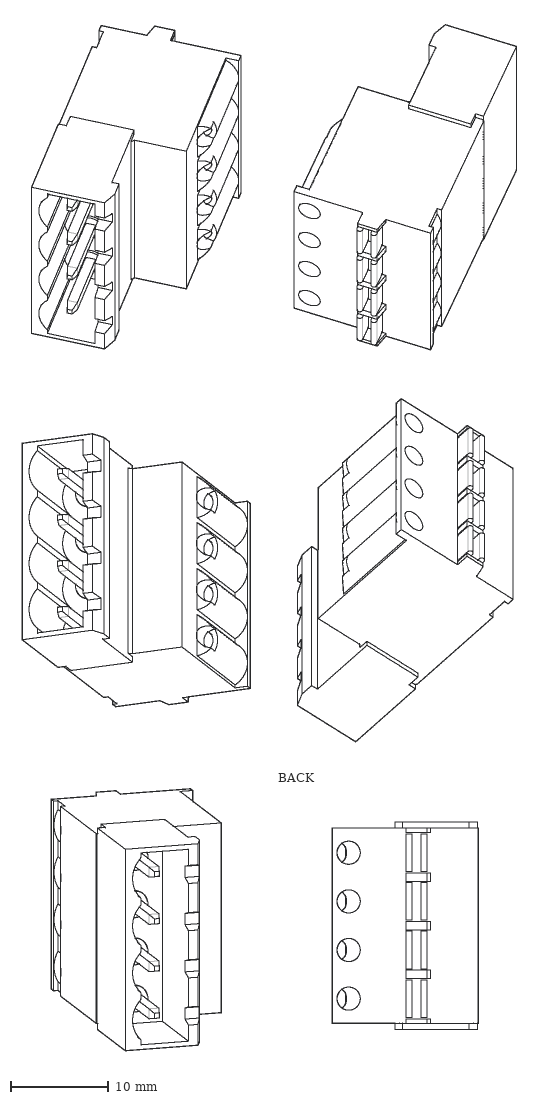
import cadquery as cq


POLES = 4
PITCH = 5.0
POLE_HEIGHTS = [(i - (POLES - 1) / 2) * PITCH for i in range(POLES)]

TOTAL_DEPTH = 27.0
OVERALL_WIDTH = 15.0

BODY_HEIGHT = 20.08
BODY_RIGHT = 13.63
BODY_FRONT = 10.15
BODY_BACK = 25.05
BODY_LIP_FRONT = 9.65
END_PLATE_THICKNESS = 0.8
END_PLATE_FRONT = BODY_BACK - END_PLATE_THICKNESS
CORNER_WEDGE = 0.32

HEADER_HEIGHT = 21.32
HEADER_LEFT = 0.08
HEADER_RIGHT = 7.77
HEADER_BACK = 10.95
HEADER_STEP_X = 0.95
HEADER_STEP_Y = 9.55
LATCH_RIGHT = 8.55
LATCH_BACK = 3.05
LATCH_CHAMFER_X = 0.65
LATCH_CHAMFER_Y = 1.5

POCKET_LEFT = 1.78
POCKET_RIGHT = 6.88
POCKET_HEIGHT = 20.3
POCKET_DEPTH = 8.9
SCALLOP_RADIUS = 2.97

NOTCH_DEPTH = 1.15
NOTCH_MOUTH = 1.92
NOTCH_BOTTOM = 1.2

PIN_X = 3.83
PIN_SIZE = 1.05
PIN_TIP_SIZE = 0.55
PIN_TAPER = 1.0
PIN_TIP_Y = 1.13
COLLAR_RADIUS = 1.4
COLLAR_HEIGHT = 0.27

DOME_RADIUS = 2.48
DOME_CENTER_X = OVERALL_WIDTH - DOME_RADIUS
DOME_FRONT = 14.2
SCREW_BORE_RADIUS = 1.2
SCREW_BORE_X = 13.3
FRONT_BORE_X = 14.7
FRONT_BORE_BACK = 16.33

GROOVE_DEPTH = 0.49
GROOVE_FRONT = 21.85
GRIP_HALF_HEIGHT = 1.62
GRIP_RISE = 0.43

RIB_LEFT = 4.9
RIB_TIP_LEFT = 5.3
RIB_RIGHT = 7.45
RIB_BACK = 26.55
TAB_HEIGHT = 3.85
TAB_GAP = 0.13
PRONG_WIDTH = 0.62
PRONG_LEFTS = [RIB_TIP_LEFT, RIB_RIGHT - PRONG_WIDTH]

OVERLAP = 0.13


def block(x0, x1, y0, y1, height, z=0.0):
    """Box between two X and two Y limits, centred on height z."""
    return (
        cq.Workplane("XY")
        .box(x1 - x0, y1 - y0, height)
        .translate(((x0 + x1) / 2, (y0 + y1) / 2, z))
    )


def plan_prism(points, height, z=0.0):
    """Outline in X and Y, extruded along Z and centred on height z."""
    return (
        cq.Workplane("XY", origin=(0, 0, z - height / 2))
        .polyline(points)
        .close()
        .extrude(height)
    )


def rod(x, z, radius, y0, y1):
    """Cylinder along Y."""
    return (
        cq.Workplane("XZ", origin=(x, y0, z))
        .circle(radius)
        .extrude(y0 - y1)
    )


def make_body():
    body = block(0, BODY_RIGHT, BODY_FRONT, BODY_BACK, BODY_HEIGHT)
    lip = block(0, HEADER_STEP_X, BODY_LIP_FRONT, BODY_FRONT + OVERLAP, BODY_HEIGHT)
    joint = block(HEADER_LEFT, HEADER_STEP_X, HEADER_STEP_Y, BODY_FRONT + OVERLAP, BODY_HEIGHT)
    end_plate = block(0, OVERALL_WIDTH, END_PLATE_FRONT, BODY_BACK, BODY_HEIGHT)
    wedge = plan_prism(
        [
            (HEADER_RIGHT, BODY_FRONT),
            (HEADER_RIGHT, BODY_FRONT - CORNER_WEDGE),
            (HEADER_RIGHT + CORNER_WEDGE, BODY_FRONT),
        ],
        BODY_HEIGHT,
    )
    return body.union(lip).union(joint).union(end_plate).union(wedge)


def make_header():
    return plan_prism(
        [
            (HEADER_LEFT, 0),
            (LATCH_RIGHT - LATCH_CHAMFER_X, 0),
            (LATCH_RIGHT, LATCH_CHAMFER_Y),
            (LATCH_RIGHT, LATCH_BACK),
            (HEADER_RIGHT, LATCH_BACK),
            (HEADER_RIGHT, HEADER_BACK),
            (HEADER_STEP_X, HEADER_BACK),
            (HEADER_STEP_X, HEADER_STEP_Y),
            (HEADER_LEFT, HEADER_STEP_Y),
        ],
        HEADER_HEIGHT,
    )


def make_pocket():
    """Header cavity with a round scallop beside each pin."""
    pocket = block(POCKET_LEFT, POCKET_RIGHT, 0, POCKET_DEPTH, POCKET_HEIGHT)
    for z in POLE_HEIGHTS:
        scallop = rod(PIN_X, z, SCALLOP_RADIUS, 0, POCKET_DEPTH)
        left_of_pin = block(PIN_X - SCALLOP_RADIUS, PIN_X, 0, POCKET_DEPTH, POCKET_HEIGHT)
        pocket = pocket.union(scallop.intersect(left_of_pin))
    return pocket


def make_notch(z):
    """Notch through the latch wall, narrowing away from the opening."""
    return (
        cq.Workplane("YZ", origin=(POCKET_RIGHT - OVERLAP, 0, z))
        .polyline(
            [
                (0, -NOTCH_MOUTH / 2),
                (NOTCH_DEPTH, -NOTCH_BOTTOM / 2),
                (NOTCH_DEPTH, NOTCH_BOTTOM / 2),
                (0, NOTCH_MOUTH / 2),
            ]
        )
        .close()
        .extrude(LATCH_RIGHT - POCKET_RIGHT + 2 * OVERLAP)
    )


def make_pin(z):
    """Square pin with a tapered tip, standing in a round collar."""
    shaft_front = PIN_TIP_Y + PIN_TAPER
    shaft = block(
        PIN_X - PIN_SIZE / 2,
        PIN_X + PIN_SIZE / 2,
        shaft_front,
        POCKET_DEPTH + OVERLAP,
        PIN_SIZE,
        z,
    )
    tip = (
        cq.Workplane("XZ", origin=(PIN_X, shaft_front, z))
        .rect(PIN_SIZE, PIN_SIZE)
        .workplane(offset=PIN_TAPER)
        .rect(PIN_TIP_SIZE, PIN_TIP_SIZE)
        .loft(combine=True)
    )
    collar = rod(PIN_X, z, COLLAR_RADIUS, POCKET_DEPTH - COLLAR_HEIGHT, POCKET_DEPTH + OVERLAP)
    return shaft.union(tip).union(collar)


def make_dome(z):
    """Round bulge on the right wall, its front end sloped at 45 degrees."""
    dome = rod(DOME_CENTER_X, z, DOME_RADIUS, DOME_FRONT, END_PLATE_FRONT + OVERLAP)
    inner_x = BODY_RIGHT - OVERLAP
    slope_run = OVERALL_WIDTH - BODY_RIGHT
    envelope = plan_prism(
        [
            (inner_x, DOME_FRONT),
            (BODY_RIGHT, DOME_FRONT),
            (OVERALL_WIDTH, DOME_FRONT + slope_run),
            (OVERALL_WIDTH, END_PLATE_FRONT + OVERLAP),
            (inner_x, END_PLATE_FRONT + OVERLAP),
        ],
        PITCH,
        z,
    )
    return dome.intersect(envelope)


def make_screw_bores(z):
    """Screw bore from the back, met by an offset bore from the front of the dome."""
    back_bore = rod(SCREW_BORE_X, z, SCREW_BORE_RADIUS, FRONT_BORE_BACK - OVERLAP, BODY_BACK)
    front_bore = rod(FRONT_BORE_X, z, SCREW_BORE_RADIUS, DOME_FRONT, FRONT_BORE_BACK)
    return back_bore.union(front_bore)


def make_grip(z):
    """Shallow convex rib inside the groove of the left wall."""
    radius = (GRIP_HALF_HEIGHT**2 + GRIP_RISE**2) / (2 * GRIP_RISE)
    crest_x = GROOVE_DEPTH - GRIP_RISE
    cylinder = rod(crest_x + radius, z, radius, GROOVE_FRONT, END_PLATE_FRONT)
    segment = block(0, GROOVE_DEPTH, GROOVE_FRONT, END_PLATE_FRONT, PITCH, z)
    return cylinder.intersect(segment)


def make_prong(left, z):
    """Flat release-tab prong with a half-round end."""
    radius = PRONG_WIDTH / 2
    round_start = TOTAL_DEPTH - radius
    return (
        cq.Workplane("XY", origin=(0, 0, z - TAB_HEIGHT / 2))
        .moveTo(left, BODY_BACK - OVERLAP)
        .lineTo(left, round_start)
        .threePointArc((left + radius, TOTAL_DEPTH), (left + PRONG_WIDTH, round_start))
        .lineTo(left + PRONG_WIDTH, BODY_BACK - OVERLAP)
        .close()
        .extrude(TAB_HEIGHT)
    )


def make_ribs():
    """Tapered back ribs left standing between and beyond the tabs."""
    ribs = plan_prism(
        [
            (RIB_LEFT, BODY_BACK),
            (RIB_TIP_LEFT, RIB_BACK),
            (RIB_RIGHT, RIB_BACK),
            (RIB_RIGHT, BODY_BACK),
        ],
        BODY_HEIGHT,
    )
    for z in POLE_HEIGHTS:
        window = block(RIB_LEFT, RIB_RIGHT, BODY_BACK, RIB_BACK, TAB_HEIGHT + 2 * TAB_GAP, z)
        ribs = ribs.cut(window)
    return ribs


result = make_body().union(make_header()).cut(make_pocket())
result = result.cut(block(0, GROOVE_DEPTH, GROOVE_FRONT, END_PLATE_FRONT, BODY_HEIGHT))
result = result.union(make_ribs())

for pole_z in POLE_HEIGHTS:
    result = result.cut(make_notch(pole_z))
    result = result.union(make_pin(pole_z))
    result = result.union(make_dome(pole_z))
    result = result.cut(make_screw_bores(pole_z))
    result = result.union(make_grip(pole_z))
    for prong_left in PRONG_LEFTS:
        result = result.union(make_prong(prong_left, pole_z))